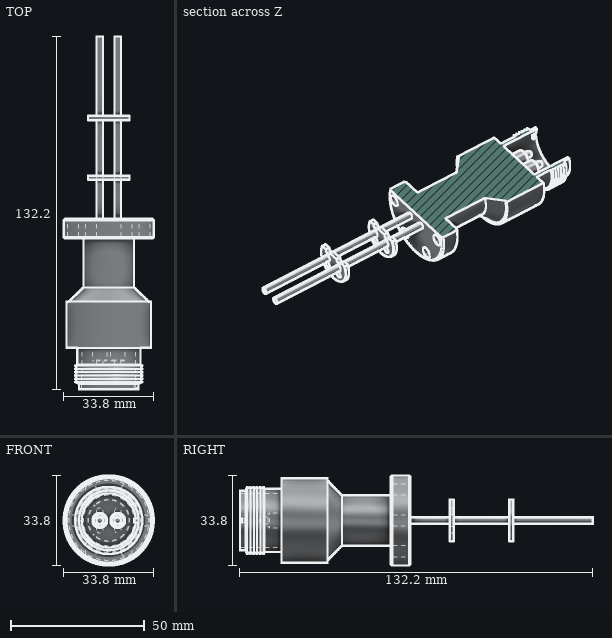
import cadquery as cq

total_length = 132.2
nose_end = 2.1
thread_end = 9.3
neck_end = 15.6
body_end = 32.9
cone_end = 38.2
flange_start = 56.5
flange_end = 64.0

nose_diameter = 22.3
thread_diameter = 25.2
thread_root_diameter = 24.3
first_crest = 2.8
thread_pitch = 1.23
crest_count = 6
neck_diameter = 23.8
body_diameter = 31.7
tube_diameter = 19.0
flange_diameter = 33.8
bore_diameter = 20.2

cone_base_diameter = 30.0
flange_chamfer = 0.7
bore_depth = neck_end

keyway_width = 1.6
key_length = 1.0
key_inner_radius = 9.4
key_outer_radius = (bore_diameter + nose_diameter) / 4
keyway_depth = 0.8
keyway_outer_radius = 11.5

bolt_count = 6
bolt_hole_diameter = 4.2
bolt_circle_diameter = 26.7

rod_spacing = 6.7
rod_diameter = 2.5
rod_tip = 7.4
tip_fillet = 1.2
collar_diameter = 5.5
collar_chamfer = 0.5
collar_front = 10.6

disc_diameter = 15.7
disc_thickness = 1.7
disc_centres = [79.3, 101.7]
disc_hole_diameter = rod_diameter
disc_hole_rise = 3.5
disc_chamfer = 0.2

rod_positions = [-rod_spacing / 2, rod_spacing / 2]


def cylinder(diameter, start, end, x=0.0, z=0.0):
    """Cylinder along +Y between two stations."""
    axis = cq.Vector(0, 1, 0)
    return cq.Workplane(cq.Solid.makeCylinder(diameter / 2, end - start, cq.Vector(x, start, z), axis))


def make_housing():
    """Revolved housing from the mouth to the back of the flange."""
    tube_radius = tube_diameter / 2
    flange_radius = flange_diameter / 2
    crest_radius = thread_diameter / 2
    root_radius = thread_root_diameter / 2

    profile = cq.Workplane("XY").lineTo(nose_diameter / 2, 0).lineTo(nose_diameter / 2, nose_end)
    profile = profile.lineTo(crest_radius, first_crest)
    for groove in range(crest_count - 1):
        root = first_crest + (groove + 0.5) * thread_pitch
        profile = profile.threePointArc((root_radius, root), (crest_radius, root + thread_pitch / 2))
    profile = (
        profile.lineTo(neck_diameter / 2, thread_end)
        .lineTo(neck_diameter / 2, neck_end)
        .lineTo(body_diameter / 2, neck_end)
        .lineTo(body_diameter / 2, body_end)
        .lineTo(cone_base_diameter / 2, body_end)
        .lineTo(tube_radius, cone_end)
        .lineTo(tube_radius, flange_start)
        .lineTo(flange_radius - flange_chamfer, flange_start)
        .lineTo(flange_radius, flange_start + flange_chamfer)
        .lineTo(flange_radius, flange_end - flange_chamfer)
        .lineTo(flange_radius - flange_chamfer, flange_end)
        .lineTo(0, flange_end)
        .close()
    )
    return profile.revolve(360, (0, 0, 0), (0, 1, 0))


def make_bolt_holes():
    return (
        cq.Workplane("XZ", origin=(0, flange_end, 0))
        .polarArray(bolt_circle_diameter / 2, 0, 360, bolt_count)
        .circle(bolt_hole_diameter / 2)
        .extrude(flange_end - flange_start)
    )


def make_keyway():
    return cq.Workplane("XY").box(
        keyway_outer_radius, keyway_depth, keyway_width, centered=(False, False, True)
    )


def make_key():
    """Block on the bore wall, as wide as the keyway and just behind its floor."""
    origin = (key_inner_radius, keyway_depth, 0)
    radial_size = key_outer_radius - key_inner_radius
    return cq.Workplane("XY", origin=origin).box(
        radial_size, key_length, keyway_width, centered=(False, False, True)
    )


def make_conductor(x):
    """Rod running the length of the part, with a round tip and a collar on the bore floor."""
    rod = cylinder(rod_diameter, rod_tip, total_length, x).faces("<Y").edges().fillet(tip_fillet)
    collar = cylinder(collar_diameter, collar_front, bore_depth, x)
    collar = collar.faces("<Y").edges().chamfer(collar_chamfer)
    return rod.union(collar)


def make_disc(centre):
    """Spacer disc with open holes above and below each rod."""
    start = centre - disc_thickness / 2
    end = centre + disc_thickness / 2
    disc = cylinder(disc_diameter, start, end).edges().chamfer(disc_chamfer)
    for x in rod_positions:
        for z in [-disc_hole_rise, disc_hole_rise]:
            disc = disc.cut(cylinder(disc_hole_diameter, start, end, x, z))
    return disc


result = make_housing().cut(cylinder(bore_diameter, 0, bore_depth))
result = result.cut(make_keyway()).union(make_key()).cut(make_bolt_holes())
for centre in disc_centres:
    result = result.union(make_disc(centre))
for x in rod_positions:
    result = result.union(make_conductor(x))